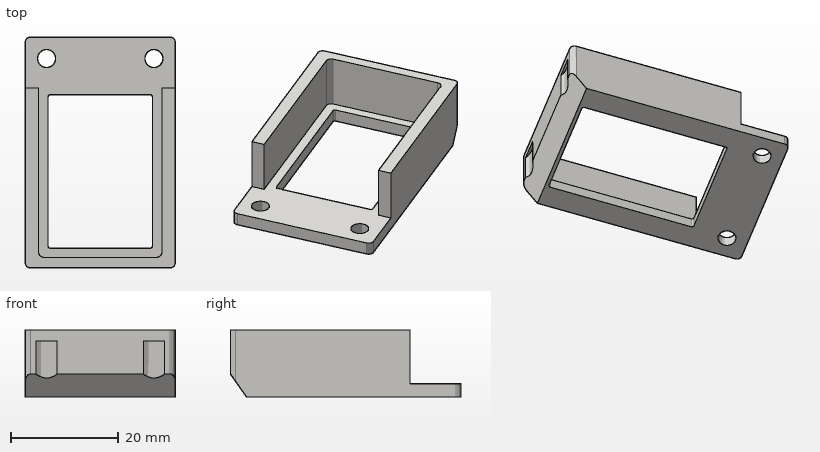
import cadquery as cq

width = 28.0
length = 43.0
height = 12.5
corner_radius = 1.0

floor_thickness = 2.5
side_wall = 2.5
front_wall = 1.98
tab_length = 9.5
pocket_radius = 1.0

window_side_margin = 4.3
window_front_margin = 3.7
window_back_margin = 10.75
window_radius = 0.4

hole_diameter = 3.3
hole_spacing = 20.0
hole_back_margin = 4.0

bevel_depth = 3.0
bevel_height = 4.3

groove_width = 3.9
groove_depth = 0.5
groove_top = 10.5

front_y = -length / 2
back_y = length / 2
tab_start_y = back_y - tab_length


def box_between(x_half, y_min, y_max, z_min, z_max):
    """Box symmetric about X = 0, spanning the given Y and Z limits."""
    return (
        cq.Workplane("XY", origin=(0, (y_min + y_max) / 2, z_min))
        .rect(2 * x_half, y_max - y_min)
        .extrude(z_max - z_min)
    )


def make_body():
    block = box_between(width / 2, front_y, back_y, 0, height)
    return block.edges("|Z").fillet(corner_radius)


def make_pocket():
    """Space inside the U wall, running out over the rear tab."""
    inside = box_between(width / 2 - side_wall, front_y + front_wall, back_y, floor_thickness, height)
    inside = inside.edges("|Z and <Y").fillet(pocket_radius)
    above_tab = box_between(width / 2, tab_start_y, back_y, floor_thickness, height)
    return inside.union(above_tab)


def make_window():
    opening = box_between(
        width / 2 - window_side_margin,
        front_y + window_front_margin,
        back_y - window_back_margin,
        0,
        floor_thickness,
    )
    return opening.edges("|Z").fillet(window_radius)


def make_holes():
    hole_y = back_y - hole_back_margin
    centres = [(-hole_spacing / 2, hole_y), (hole_spacing / 2, hole_y)]
    return cq.Workplane("XY").pushPoints(centres).circle(hole_diameter / 2).extrude(floor_thickness)


def make_bevel():
    """Triangular wedge across the full width, below the front face."""
    return (
        cq.Workplane("YZ")
        .moveTo(front_y, 0)
        .lineTo(front_y + bevel_depth, 0)
        .lineTo(front_y, bevel_height)
        .close()
        .extrude(width / 2, both=True)
    )


def make_grooves():
    """Vertical grooves whose arc has the given chord and depth at the front face."""
    radius = ((groove_width / 2) ** 2 + groove_depth**2) / (2 * groove_depth)
    axis_y = front_y + groove_depth - radius
    centres = [(-hole_spacing / 2, axis_y), (hole_spacing / 2, axis_y)]
    return cq.Workplane("XY").pushPoints(centres).circle(radius).extrude(groove_top)


result = (
    make_body()
    .cut(make_pocket())
    .cut(make_window())
    .cut(make_holes())
    .cut(make_bevel())
    .cut(make_grooves())
)